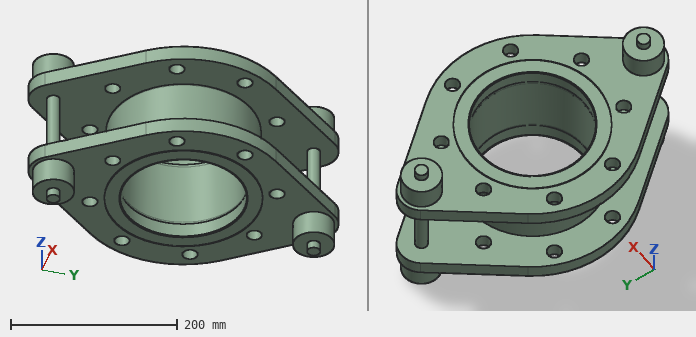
import cadquery as cq
import math

length = 389.8
width = 265.0
height = 210.0

plate_inner_z = 45.0
plate_thickness = 19.0
plate_outer_z = plate_inner_z + plate_thickness
lobe_radius = width / 2
ear_radius = 30.0
rod_offset = length / 2 - ear_radius

bolt_count = 8
bolt_circle_radius = 112.5
bolt_hole_diameter = 18.5

bore_radius = 76.0
neck_radius = 77.0
body_radius = 93.0
body_half_height = 38.2
neck_fillet = 3.5
body_edge_fillet = 2.5
face_radius = 95.0
face_height = 1.0
face_z = plate_outer_z + face_height

rod_diameter = 16.0
sleeve_diameter = 50.0
sleeve_end_z = 94.7


def flange_plate(bottom_z):
    """Plate bounded by two lobe arcs, two ear arcs and their common tangents."""
    normal_y = (lobe_radius - ear_radius) / rod_offset
    normal_x = math.sqrt(1 - normal_y**2)
    lobe_x = lobe_radius * normal_x
    lobe_y = lobe_radius * normal_y
    ear_x = ear_radius * normal_x
    ear_y = rod_offset + ear_radius * normal_y
    bolt_angle = 180 / bolt_count
    return (
        cq.Workplane("XY")
        .workplane(offset=bottom_z)
        .moveTo(lobe_x, -lobe_y)
        .threePointArc((lobe_radius, 0), (lobe_x, lobe_y))
        .lineTo(ear_x, ear_y)
        .threePointArc((0, length / 2), (-ear_x, ear_y))
        .lineTo(-lobe_x, lobe_y)
        .threePointArc((-lobe_radius, 0), (-lobe_x, -lobe_y))
        .lineTo(-ear_x, -ear_y)
        .threePointArc((0, -length / 2), (ear_x, -ear_y))
        .close()
        .extrude(plate_thickness)
        .polarArray(bolt_circle_radius, bolt_angle, 360, bolt_count)
        .circle(bolt_hole_diameter / 2)
        .cutThruAll()
    )


def cylinder(radius, bottom_z, top_z, y=0):
    """Vertical cylinder whose axis crosses the Y axis at the given place."""
    base = cq.Workplane("XY").workplane(offset=bottom_z).center(0, y)
    return base.circle(radius).extrude(top_z - bottom_z)


def tube_blank():
    """Solid body and its narrower necks, with rounded rims and shoulders."""
    body = cylinder(body_radius, -body_half_height, body_half_height)
    body = body.edges("%CIRCLE").fillet(body_edge_fillet)
    neck = cylinder(neck_radius, -plate_outer_z, plate_outer_z)
    shoulder_zone = cq.selectors.BoxSelector(
        (-neck_radius, -neck_radius, -body_half_height - neck_fillet),
        (neck_radius, neck_radius, body_half_height + neck_fillet),
    )
    return body.union(neck).edges(shoulder_zone).edges("%CIRCLE").fillet(neck_fillet)


result = tube_blank()
for plate_bottom_z in (plate_inner_z, -plate_outer_z):
    result = result.union(flange_plate(plate_bottom_z))

for face_bottom_z in (plate_outer_z, -face_z):
    result = result.union(cylinder(face_radius, face_bottom_z, face_bottom_z + face_height))

result = result.cut(cylinder(bore_radius, -face_z, face_z))
for face_bottom_z in (plate_outer_z, -face_z):
    result = result.cut(cylinder(neck_radius, face_bottom_z, face_bottom_z + face_height))

for rod_y in (-rod_offset, rod_offset):
    result = result.union(cylinder(rod_diameter / 2, -height / 2, height / 2, rod_y))
    result = result.union(cylinder(sleeve_diameter / 2, plate_outer_z, sleeve_end_z, rod_y))
    result = result.union(cylinder(sleeve_diameter / 2, -sleeve_end_z, -plate_outer_z, rod_y))